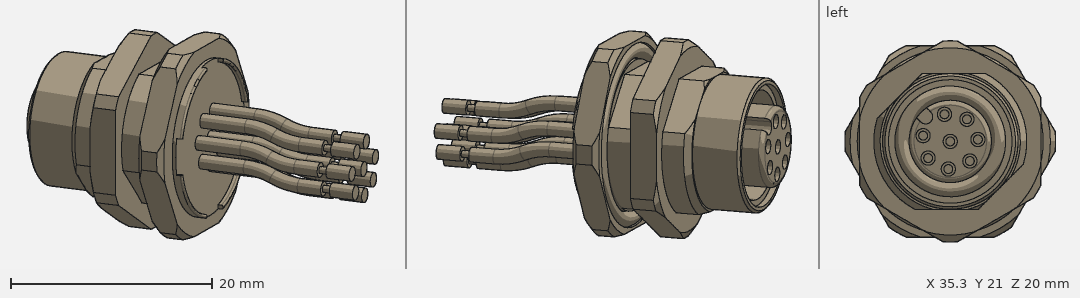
import cadquery as cq
import math

LENGTH = 35.3

SHELL_FRONT = 1.52
SHELL_RADIUS = 13.5 / 2
SHELL_CHAMFER = 0.25
BARREL_START = 6.5
BARREL_RADIUS = 15.2 / 2
BARREL_CHAMFER = 0.65
FLAT_DISTANCE = SHELL_RADIUS
FLAT_ANGLES = (0, -45, 180, 135)

MOUTH_RADIUS = 12.3 / 2
MOUTH_DEPTH = 0.67
BORE_RADIUS = 11.0 / 2
BORE_FLOOR = 8.0

INSERT_RADIUS = 4.1
INSERT_ROUND = 0.5
KEYWAY_ANGLE = 135
KEYWAY_RADIUS = 0.7
KEYWAY_CENTRE_RADIUS = 3.45

CONTACT_RING_RADIUS = 2.75
CONTACT_COUNT = 7
CONTACT_PITCH = 49
CONTACT_RADIUS = 1.4 / 2
CONTACT_RECESS = 0.78
CONTACT_BORE_RADIUS = 0.9 / 2
CONTACT_BORE_DEPTH = 4.95

FLANGE_FRONT = 15.25
FLANGE_BACK = 18.0
FLANGE_FLATS = 19.05
FLANGE_CORNER_RADIUS = 20.97 / 2
FLANGE_CHAMFER = 0.53

COLLAR_RADIUS = 16.0 / 2
COLLAR_BACK = 18.95
COLLAR_CREST_RADIUS = 15.6 / 2
COLLAR_ROUND = COLLAR_RADIUS - COLLAR_CREST_RADIUS
COLLAR_BORE_RADIUS = COLLAR_CREST_RADIUS - COLLAR_ROUND
COLLAR_FLOOR = 18.4
NOTCH_WIDTH = 3.78

SEAL_FRONT = 15.0
SEAL_OUTER_RADIUS = 9.25
SEAL_INNER_RADIUS = 7.65
SEAL_SECTION_RADIUS = (SEAL_OUTER_RADIUS - SEAL_INNER_RADIUS) / 2
SEAL_BACK = SEAL_FRONT + 2 * SEAL_SECTION_RADIUS

NUT_FRONT = 9.45
NUT_BACK = 12.25
NUT_FLATS = 18.0
NUT_CORNER_RADIUS = 20.0 / 2
NUT_CHAMFER_LENGTH = 0.35
NUT_CHAMFER_HEIGHT = 0.7

WIRE_RADIUS = 1.5 / 2
STRAND_RADIUS = 0.7 / 2
BEND_START = 23.3
BEND_END = 29.23
BEND_DROP = 1.2
STRIP_START = 31.8
STRIP_END = 32.75


def rod(x_start, x_end, radius, y=0, z=0):
    """Solid cylinder along X."""
    return cq.Workplane("YZ", origin=(x_start, y, z)).circle(radius).extrude(x_end - x_start)


def turned(points):
    """Solid of revolution about the X axis from (x, radius) points."""
    return cq.Workplane("XY").polyline(points).close().revolve(360, (0, 0), (1, 0))


def hexagon(x_start, x_end, across_flats, turn):
    """Hexagonal prism along X, turned about X; with no turn its corners lie on Y."""
    corner_diameter = across_flats / math.cos(math.pi / 6)
    prism = cq.Workplane("YZ", origin=(x_start, 0, 0)).polygon(6, corner_diameter).extrude(x_end - x_start)
    return prism.rotate((0, 0, 0), (1, 0, 0), turn)


def ring_of_section(x_centre, ring_radius, section_radius):
    """Torus about the X axis."""
    section = cq.Workplane("XY").center(x_centre, ring_radius).circle(section_radius)
    return section.revolve(360, (-x_centre, -ring_radius), (0.35 - x_centre, -ring_radius))


def polar(radius, angle):
    """(y, z) at an angle measured from -Y towards +Z."""
    turn = math.radians(angle)
    return -radius * math.cos(turn), radius * math.sin(turn)


def contact_positions():
    first = KEYWAY_ANGLE + 180 - CONTACT_PITCH * (CONTACT_COUNT - 1) / 2
    ring = [polar(CONTACT_RING_RADIUS, first + i * CONTACT_PITCH) for i in range(CONTACT_COUNT)]
    return [(0, 0)] + ring


def barrel():
    """Threaded barrel with two pairs of flats."""
    body = turned([
        (BARREL_START, 0),
        (BARREL_START, BARREL_RADIUS - BARREL_CHAMFER),
        (BARREL_START + BARREL_CHAMFER, BARREL_RADIUS),
        (FLANGE_FRONT, BARREL_RADIUS),
        (FLANGE_FRONT, 0),
    ])
    length = FLANGE_FRONT - BARREL_START
    for angle in FLAT_ANGLES:
        waste = cq.Workplane("XY", origin=(BARREL_START, 0, FLAT_DISTANCE)).box(
            length, 2 * BARREL_RADIUS, BARREL_RADIUS, centered=(False, True, False)
        )
        body = body.cut(waste.rotate((0, 0, 0), (1, 0, 0), angle))
    return body


def shell():
    return rod(SHELL_FRONT, BARREL_START, SHELL_RADIUS).faces("<X").chamfer(SHELL_CHAMFER)


def seal_groove():
    groove = rod(FLANGE_FRONT, SEAL_BACK, SEAL_OUTER_RADIUS)
    return groove.cut(rod(FLANGE_FRONT, SEAL_BACK, BARREL_RADIUS))


def flange():
    """Hexagon with rounded corners, chamfered on both sides, and the seal groove in front."""
    face_radius = FLANGE_CORNER_RADIUS - FLANGE_CHAMFER
    envelope = turned([
        (FLANGE_FRONT, 0),
        (FLANGE_FRONT, face_radius),
        (FLANGE_FRONT + FLANGE_CHAMFER, FLANGE_CORNER_RADIUS),
        (FLANGE_BACK - FLANGE_CHAMFER, FLANGE_CORNER_RADIUS),
        (FLANGE_BACK, face_radius),
        (FLANGE_BACK, 0),
    ])
    return hexagon(FLANGE_FRONT, FLANGE_BACK, FLANGE_FLATS, 0).intersect(envelope).cut(seal_groove())


def collar():
    """Rear collar: a thin rim with a fully rounded end around a recess, cut by four notches."""
    round_start = COLLAR_BACK - COLLAR_ROUND
    wall = rod(COLLAR_FLOOR, round_start, COLLAR_RADIUS).cut(
        rod(COLLAR_FLOOR, round_start, COLLAR_BORE_RADIUS)
    )
    rim = wall.union(ring_of_section(round_start, COLLAR_CREST_RADIUS, COLLAR_ROUND))
    depth = COLLAR_BACK - COLLAR_FLOOR
    span = 2 * COLLAR_RADIUS
    for width, height in ((NOTCH_WIDTH, span), (span, NOTCH_WIDTH)):
        notch = cq.Workplane("YZ", origin=(COLLAR_FLOOR, 0, 0)).rect(width, height).extrude(depth)
        rim = rim.cut(notch)
    return rod(FLANGE_BACK, COLLAR_FLOOR, COLLAR_RADIUS).union(rim)


def socket():
    """Cavity of the mating socket, with its stepped mouth."""
    mouth = rod(SHELL_FRONT, SHELL_FRONT + MOUTH_DEPTH, MOUTH_RADIUS)
    return mouth.union(rod(SHELL_FRONT, BORE_FLOOR, BORE_RADIUS))


def floor_bead():
    """Rounded ring that fills the gap around the insert at the socket floor."""
    section_radius = (BORE_RADIUS - INSERT_RADIUS) / 2
    return ring_of_section(BORE_FLOOR, INSERT_RADIUS + section_radius, section_radius)


def insert():
    """Contact carrier with a rounded front edge and a keyway."""
    body = rod(0, BORE_FLOOR, INSERT_RADIUS).faces("<X").edges().fillet(INSERT_ROUND)
    round_end = rod(0, BORE_FLOOR, KEYWAY_RADIUS, -KEYWAY_CENTRE_RADIUS)
    open_side = cq.Workplane("XY", origin=(0, -KEYWAY_CENTRE_RADIUS, 0)).box(
        BORE_FLOOR, INSERT_RADIUS, 2 * KEYWAY_RADIUS, centered=(False, False, True)
    )
    keyway = round_end.union(open_side.translate((0, -INSERT_RADIUS, 0)))
    return body.cut(keyway.rotate((0, 0, 0), (1, 0, 0), -KEYWAY_ANGLE))


def contact_hole(y, z):
    recess = rod(0, CONTACT_RECESS, CONTACT_RADIUS, y, z)
    return recess.union(rod(0, CONTACT_BORE_DEPTH, CONTACT_BORE_RADIUS, y, z))


def wire(y, z):
    """Insulated wire with an S-bend down and a bare stretch of strand near its end."""
    bend_middle = ((BEND_START + BEND_END) / 2, z - BEND_DROP / 2)
    bend_angle = 2 * math.atan(BEND_DROP / (BEND_END - BEND_START))
    bend_radius = (BEND_END - BEND_START) / 2 / math.sin(bend_angle)
    half_turn = bend_angle / 2
    arc_run = bend_radius * math.sin(half_turn)
    arc_sag = bend_radius * (1 - math.cos(half_turn))
    path = (
        cq.Workplane("XZ", origin=(0, y, 0))
        .moveTo(COLLAR_FLOOR, z)
        .lineTo(BEND_START, z)
        .threePointArc((BEND_START + arc_run, z - arc_sag), bend_middle)
        .threePointArc((BEND_END - arc_run, z - BEND_DROP + arc_sag), (BEND_END, z - BEND_DROP))
        .lineTo(STRIP_START, z - BEND_DROP)
    )
    insulation = cq.Workplane("YZ", origin=(COLLAR_FLOOR, y, z)).circle(WIRE_RADIUS).sweep(path)
    strand = rod(STRIP_START, STRIP_END, STRAND_RADIUS, y, z - BEND_DROP)
    end_sleeve = rod(STRIP_END, LENGTH, WIRE_RADIUS, y, z - BEND_DROP)
    return insulation.union(strand).union(end_sleeve)


def make_seal():
    """Sealing ring that touches the outer wall and the floor of its groove."""
    x_centre = SEAL_FRONT + SEAL_SECTION_RADIUS
    return ring_of_section(x_centre, SEAL_INNER_RADIUS + SEAL_SECTION_RADIUS, SEAL_SECTION_RADIUS)


def make_nut(thread):
    """Lock nut, chamfered on its front corners, with a hole that fits the barrel and its flats."""
    envelope = turned([
        (NUT_FRONT, 0),
        (NUT_FRONT, NUT_CORNER_RADIUS - NUT_CHAMFER_HEIGHT),
        (NUT_FRONT + NUT_CHAMFER_LENGTH, NUT_CORNER_RADIUS),
        (NUT_BACK, NUT_CORNER_RADIUS),
        (NUT_BACK, 0),
    ])
    nut = hexagon(NUT_FRONT, NUT_BACK, NUT_FLATS, 90).intersect(envelope)
    return nut.cut(thread)


def make_housing():
    body = shell().union(barrel()).union(flange()).union(collar())
    body = body.cut(socket()).union(floor_bead()).union(insert())
    for y, z in contact_positions():
        body = body.cut(contact_hole(y, z))
        body = body.union(wire(y, z))
    return body


seal = make_seal()
nut = make_nut(barrel())
housing = make_housing()

result = cq.Compound.makeCompound([housing.val(), nut.val(), seal.val()])